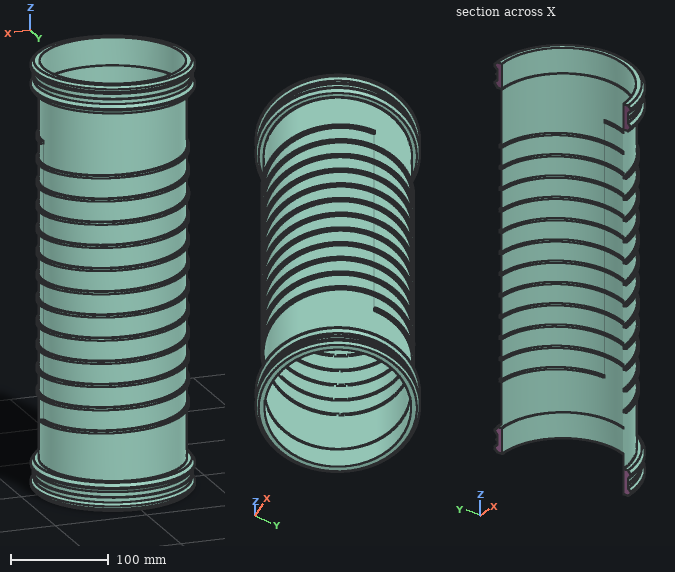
import cadquery as cq

TOTAL_LENGTH = 459.0
BORE_DIAMETER = 150.0
PIPE_DIAMETER = 152.0

COLLAR_LENGTH = 30.5
COLLAR_DIAMETER = 168.5
COLLAR_FACE_DIAMETER = 162.0
OUTER_BEAD_WIDTH = 9.0
OUTER_BEAD_LAND = 2.8
INNER_BEAD_WIDTH = 10.0
INNER_BEAD_LAND = 1.5
RIDGE_WIDTH = 0.5
RIDGE_HEIGHT = 1.5

RIB_RISE = 300.0
RIB_TURNS = 12
RIB_START_HEIGHT = 79.5
RIB_HEIGHT = 2.5
RIB_WIDTH = 2.8
RIB_EMBED = 0.5

bore_radius = BORE_DIAMETER / 2
pipe_radius = PIPE_DIAMETER / 2
pipe_length = TOTAL_LENGTH - 2 * COLLAR_LENGTH


def make_rib():
    """Rectangular rib wound right-handed, starting on the +X side."""
    path = cq.Wire.makeHelix(RIB_RISE / RIB_TURNS, RIB_RISE, pipe_radius)
    section = (
        cq.Workplane("XZ")
        .center(pipe_radius + (RIB_HEIGHT - RIB_EMBED) / 2, 0)
        .rect(RIB_HEIGHT + RIB_EMBED, RIB_WIDTH)
    )
    rib = section.sweep(cq.Workplane(obj=path), isFrenet=True)
    return rib.translate((0, 0, RIB_START_HEIGHT))


def make_pipe():
    """Thin pipe between the collars, with its helical rib."""
    tube = (
        cq.Workplane("XY", origin=(0, 0, COLLAR_LENGTH))
        .circle(pipe_radius)
        .circle(bore_radius)
        .extrude(pipe_length)
    )
    return tube.union(make_rib())


def make_collar():
    """Ring standing on its outer end, with a bead at each end and a ridged groove between them."""
    crest_radius = COLLAR_DIAMETER / 2
    face_radius = COLLAR_FACE_DIAMETER / 2
    outer_flank = (OUTER_BEAD_WIDTH - OUTER_BEAD_LAND) / 2
    inner_flank = (INNER_BEAD_WIDTH - INNER_BEAD_LAND) / 2
    groove_end = COLLAR_LENGTH - INNER_BEAD_WIDTH
    groove_middle = (OUTER_BEAD_WIDTH + groove_end) / 2
    profile = [
        (bore_radius, 0),
        (face_radius, 0),
        (crest_radius, outer_flank),
        (crest_radius, outer_flank + OUTER_BEAD_LAND),
        (face_radius, OUTER_BEAD_WIDTH),
        (face_radius, groove_middle - RIDGE_WIDTH / 2),
        (face_radius + RIDGE_HEIGHT, groove_middle),
        (face_radius, groove_middle + RIDGE_WIDTH / 2),
        (face_radius, groove_end),
        (crest_radius, groove_end + inner_flank),
        (crest_radius, COLLAR_LENGTH - inner_flank),
        (face_radius, COLLAR_LENGTH),
        (bore_radius, COLLAR_LENGTH),
    ]
    return cq.Workplane("XZ").polyline(profile).close().revolve(360, (0, 0), (0, 1))


pipe = make_pipe()
bottom_collar = make_collar()
top_collar = bottom_collar.mirror("XY").translate((0, 0, TOTAL_LENGTH))

result = cq.Compound.makeCompound([pipe.val(), bottom_collar.val(), top_collar.val()])